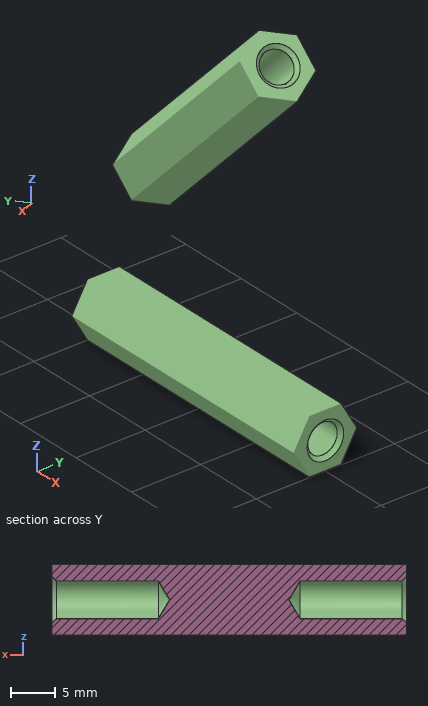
import cadquery as cq
import math

length = 40.0
across_flats = 8.0
across_corners = across_flats / math.cos(math.radians(30))

edge_radius = 0.1

hole_diameter = 4.25
mouth_diameter = 5.3
countersink_angle = 90.0
hole_depth = 12.0
drill_point_angle = 118.0


def cone_height(radial_change, included_angle):
    return radial_change / math.tan(math.radians(included_angle / 2))


def end_hole():
    """Countersunk blind hole entering at X = 0 and running toward +X."""
    hole_radius = hole_diameter / 2
    mouth_radius = mouth_diameter / 2
    countersink_depth = cone_height(mouth_radius - hole_radius, countersink_angle)
    tip_depth = hole_depth + cone_height(hole_radius, drill_point_angle)
    return (
        cq.Workplane("XY")
        .polyline([
            (0, 0),
            (0, mouth_radius),
            (countersink_depth, hole_radius),
            (hole_depth, hole_radius),
            (tip_depth, 0),
        ])
        .close()
        .revolve(360, (0, 0, 0), (1, 0, 0))
    )


body = cq.Workplane("YZ").polygon(6, across_corners).extrude(length).edges().fillet(edge_radius)

near_hole = end_hole()
far_hole = near_hole.mirror("YZ", (length / 2, 0, 0))
result = body.cut(near_hole).cut(far_hole)